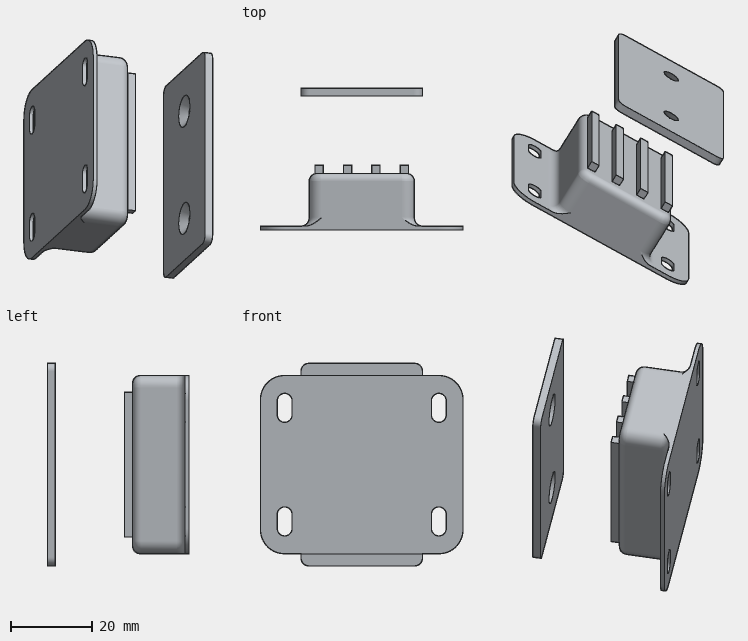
import cadquery as cq

flange_width = 50.0
flange_height = 44.0
flange_thickness = 1.0
flange_corner_radius = 6.0

slot_width = 3.6
slot_length = 7.1
slot_spacing_x = 38.0
slot_spacing_z = 28.0

block_width = 26.0
block_back = 14.0
block_corner_radius = 3.0
block_edge_radius = 2.0
root_radius = 2.0

rib_count = 4
rib_pitch = 7.0
rib_width = 2.1
rib_length = 35.8
rib_height = 2.0

plate_width = 30.0
plate_height = 50.0
plate_thickness = 2.0
plate_back = 35.0
plate_corner_radius = 2.0
screw_spacing = slot_spacing_z
screw_diameter = 4.0
countersink_diameter = 8.0
countersink_angle = 90.0


def plane_at(y):
    """XZ sketch plane at the given y, with its normal along +Y and local x along +X."""
    return cq.Workplane(cq.Plane(origin=(0, y, 0), xDir=(1, 0, 0), normal=(0, 1, 0)))


def rounded_slab(width, height, depth, radius, y=0.0):
    """Slab centred on the Y axis, growing from y along +Y, with rounded corners."""
    return plane_at(y).rect(width, height).extrude(depth).edges("|Y").fillet(radius)


def make_flanged_block():
    """Block blended into the flange; the root fillet is cut off flush at the flange outline."""
    margin = 4 * root_radius
    oversize_flange = plane_at(0).rect(flange_width + margin, flange_height + margin)
    oversize_flange = oversize_flange.extrude(flange_thickness)
    block = rounded_slab(block_width, flange_height, block_back, block_corner_radius)
    block = block.faces(">Y").edges().fillet(block_edge_radius)
    blended = oversize_flange.union(block)
    foot_x = block_width / 2 + root_radius
    foot_z = flange_height / 2 + root_radius
    root_region = cq.selectors.BoxSelector(
        (-foot_x, flange_thickness / 2, -foot_z),
        (foot_x, 1.5 * flange_thickness, foot_z),
    )
    blended = blended.edges(root_region).fillet(root_radius)
    outline = rounded_slab(flange_width, flange_height, block_back, flange_corner_radius)
    return blended.intersect(outline)


def make_ribs():
    span = rib_pitch * (rib_count - 1)
    centres = [(i * rib_pitch - span / 2, 0) for i in range(rib_count)]
    return plane_at(block_back).pushPoints(centres).rect(rib_width, rib_length).extrude(rib_height)


def make_housing():
    slots = (
        plane_at(0)
        .rarray(slot_spacing_x, slot_spacing_z, 2, 2)
        .slot2D(slot_length, slot_width, 90)
        .extrude(flange_thickness)
    )
    return make_flanged_block().union(make_ribs()).cut(slots)


def make_counter_plate():
    """Plate with two screw holes countersunk from the side facing the housing."""
    plate = rounded_slab(
        plate_width, plate_height, plate_thickness, plate_corner_radius, plate_back - plate_thickness
    )
    return (
        plate.faces("<Y")
        .workplane(centerOption="CenterOfBoundBox")
        .pushPoints([(0, -screw_spacing / 2), (0, screw_spacing / 2)])
        .cskHole(screw_diameter, countersink_diameter, countersink_angle)
    )


housing = make_housing()
counter_plate = make_counter_plate()

result = cq.Compound.makeCompound([housing.val(), counter_plate.val()])